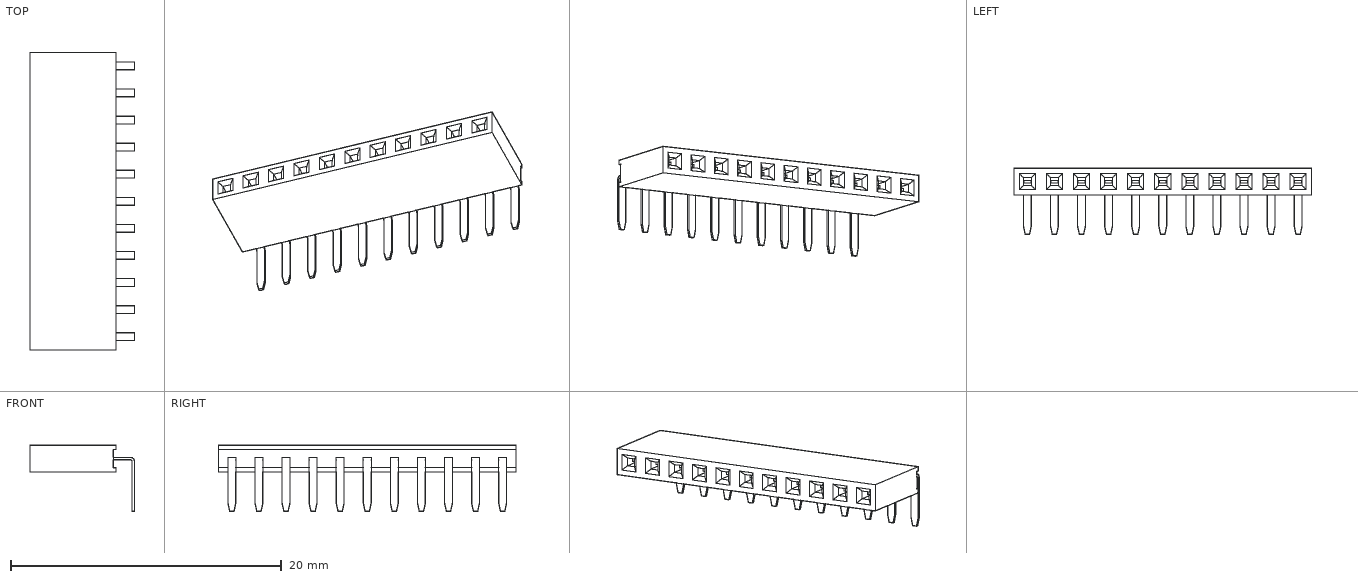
import cadquery as cq

contact_count = 11
housing_width = 22.0
pitch = housing_width / contact_count
housing_height = pitch
housing_length = 6.35

groove_depth = 0.2
lip_height = 0.33

funnel_size = 1.19
hole_size = 0.6
funnel_depth = (funnel_size - hole_size) / 2
hole_depth = 1.98

overall_length = 7.72
overall_height = 4.9
pin_width = 0.6
pin_thickness = 0.2
bend_inner_radius = 0.1
bend_outer_radius = bend_inner_radius + pin_thickness
blade_setback = 1.0
blade_width = 0.5
tip_length = 0.62
tip_width = 0.33

tail_bottom = housing_height / 2 - overall_height


def make_housing():
    bar = cq.Workplane("XY").box(
        housing_length, housing_width, housing_height, centered=(False, True, True)
    )
    groove = (
        cq.Workplane("XY")
        .box(groove_depth, housing_width, housing_height - 2 * lip_height, centered=(False, True, True))
        .translate((housing_length - groove_depth, 0, 0))
    )
    return bar.cut(groove)


def make_socket(y):
    funnel = (
        cq.Workplane("YZ")
        .center(y, 0)
        .rect(funnel_size, funnel_size)
        .workplane(offset=funnel_depth)
        .rect(hole_size, hole_size)
        .loft(ruled=True)
    )
    hole = cq.Workplane("YZ").center(y, 0).rect(hole_size, hole_size).extrude(hole_depth)
    return funnel.union(hole)


def make_contact(y):
    half_thickness = pin_thickness / 2
    bend_start_x = overall_length - bend_outer_radius
    bend_end_z = half_thickness - bend_outer_radius
    tail_front_x = overall_length - pin_thickness

    strip = (
        cq.Workplane("XZ", origin=(0, y, 0))
        .moveTo(hole_depth, half_thickness)
        .lineTo(bend_start_x, half_thickness)
        .radiusArc((overall_length, bend_end_z), bend_outer_radius)
        .lineTo(overall_length, tail_bottom)
        .lineTo(tail_front_x, tail_bottom)
        .lineTo(tail_front_x, bend_end_z)
        .radiusArc((bend_start_x, -half_thickness), -bend_inner_radius)
        .lineTo(hole_depth, -half_thickness)
        .close()
        .extrude(pin_width / 2, both=True)
    )

    for side in (-1, 1):
        edge_y = side * pin_width / 2
        wedge = (
            cq.Workplane("YZ", origin=(tail_front_x, y, tail_bottom))
            .moveTo(edge_y, tip_length)
            .lineTo(edge_y, 0)
            .lineTo(side * tip_width / 2, 0)
            .close()
            .extrude(pin_thickness)
        )
        strip = strip.cut(wedge)

    blade = (
        cq.Workplane("YZ", origin=(blade_setback, y, 0))
        .rect(blade_width, pin_thickness)
        .extrude(hole_depth - blade_setback)
    )
    return strip.union(blade)


result = make_housing()
contact_positions = [(i - (contact_count - 1) / 2) * pitch for i in range(contact_count)]
for y in contact_positions:
    result = result.cut(make_socket(y))
    result = result.union(make_contact(y))